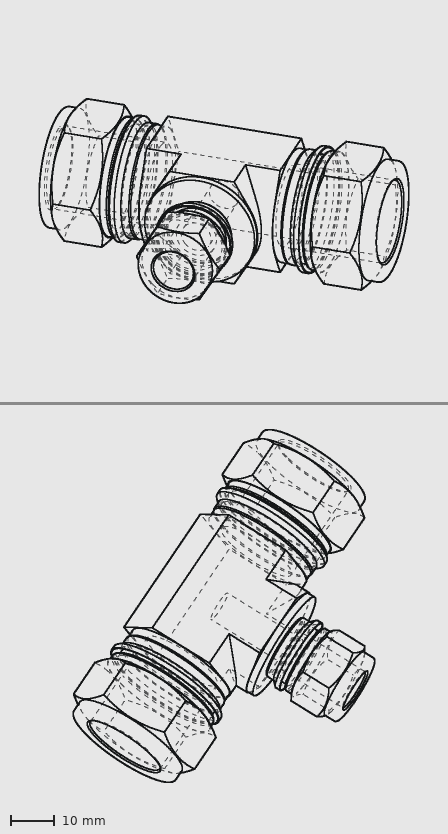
import cadquery as cq
import math


body_flats = 26.9
body_reach = 16.1
branch_base_diameter = 26.5
branch_base_reach = 17.8

run_angles = (0, 180)
branch_angle = -90

cone_length = 1.2
flange_length = 1.2
lip_thickness = 0.25
ring_length = 2.0
edge_length = 0.4
edge_depth = 0.2
end_round = 0.5
mouth_chamfer = 0.4
nut_bevel_angle = 30

run_arm = {
    "bevel_start": 18.1,
    "neck_diameter": 26.9,
    "cone_start": 20.4,
    "flange_diameter": 29.5,
    "groove_diameter": 25.4,
    "groove_length": 0.6,
    "ring_diameter": 27.8,
    "nut_flats": 28.6,
    "nut_end": 37.2,
    "collar_diameter": 28.2,
    "arm_end": 40.1,
    "tube_diameter": 19.2,
    "tube_depth": 24.45,
}

branch_arm = {
    "bevel_start": branch_base_reach,
    "neck_diameter": 15.8,
    "cone_start": 19.95,
    "flange_diameter": 18.2,
    "groove_diameter": 14.3,
    "groove_length": 0.9,
    "ring_diameter": 16.8,
    "nut_flats": 17.5,
    "nut_end": 34.1,
    "collar_diameter": 17.1,
    "arm_end": 37.2,
    "tube_diameter": 9.7,
    "tube_depth": 16.8,
}
branch_passage_diameter = 7.1


def revolve_about_x(points):
    """Solid of revolution about X from (x, radius) points; both ends close on the axis."""
    outline = [(points[0][0], 0)] + points + [(points[-1][0], 0)]
    return cq.Workplane("XY").polyline(outline).close().revolve(360, (0, 0, 0), (1, 0, 0))


def corner_radius(flats):
    """Centre-to-corner distance of a hexagon given its size across the flats."""
    return flats / 2 / math.cos(math.radians(30))


def hex_bar(flats, start, end):
    """Hexagonal bar along +X with two opposite corners toward +Y and -Y."""
    corner_diameter = 2 * corner_radius(flats)
    return cq.Workplane("YZ").workplane(offset=start).polygon(6, corner_diameter).extrude(end - start)


def bevelled_nut(flats, start, end, bevel_diameter):
    """Hexagonal nut whose corners are turned off by a cone at both ends."""
    bevel_radius = bevel_diameter / 2
    outer_radius = corner_radius(flats)
    bevel_length = (outer_radius - bevel_radius) * math.tan(math.radians(nut_bevel_angle))
    turned_blank = revolve_about_x([
        (start, bevel_radius),
        (start + bevel_length, outer_radius),
        (end - bevel_length, outer_radius),
        (end, bevel_radius),
    ])
    return hex_bar(flats, start, end).intersect(turned_blank)


def fitting_arm(size):
    """One arm along +X: neck, hollow flange, groove, ring, nut and nut end."""
    neck_radius = size["neck_diameter"] / 2
    flange_radius = size["flange_diameter"] / 2
    groove_radius = size["groove_diameter"] / 2
    ring_radius = size["ring_diameter"] / 2
    collar_radius = size["collar_diameter"] / 2
    bevel_start = size["bevel_start"]
    cone_start = size["cone_start"]
    nut_end = size["nut_end"]
    arm_end = size["arm_end"]

    cone_end = cone_start + cone_length
    flange_end = cone_end + flange_length
    groove_end = flange_end + size["groove_length"]
    nut_start = groove_end + ring_length

    turned = revolve_about_x([
        (0, neck_radius - edge_depth),
        (bevel_start, neck_radius - edge_depth),
        (bevel_start + edge_length, neck_radius),
        (cone_start, neck_radius),
        (cone_end, flange_radius),
        (flange_end, flange_radius),
        (flange_end, flange_radius - lip_thickness),
        (cone_start, groove_radius),
        (groove_end, groove_radius),
        (groove_end, ring_radius - edge_depth),
        (groove_end + edge_length, ring_radius),
        (nut_start, ring_radius),
        (nut_start, collar_radius),
        (arm_end, collar_radius),
    ]).faces(">X").edges().fillet(end_round)
    nut = bevelled_nut(size["nut_flats"], nut_start, nut_end, size["collar_diameter"])
    return turned.union(nut)


def tube_socket(size):
    """Flat-bottomed tube bore with a chamfered mouth, along +X."""
    radius = size["tube_diameter"] / 2
    mouth = size["arm_end"]
    return revolve_about_x([
        (mouth - size["tube_depth"], radius),
        (mouth - mouth_chamfer, radius),
        (mouth, radius + mouth_chamfer),
    ])


def turn_about_z(solid, angle):
    return solid.rotate((0, 0, 0), (0, 0, 1), angle)


def body_bar(start, back_rounded):
    """Hexagonal body bar along +X; the -Y corner is rounded, the +Y corner optionally too."""
    half_flats = body_flats / 2
    corner = corner_radius(body_flats)
    half_side = corner / 2
    tangent_y = half_flats * math.cos(math.radians(30))
    tangent_z = half_flats * math.sin(math.radians(30))

    outline = (
        cq.Workplane("YZ").workplane(offset=start)
        .moveTo(half_side, half_flats)
        .lineTo(-half_side, half_flats)
        .lineTo(-tangent_y, tangent_z)
        .threePointArc((-half_flats, 0), (-tangent_y, -tangent_z))
        .lineTo(-half_side, -half_flats)
        .lineTo(half_side, -half_flats)
    )
    if back_rounded:
        outline = outline.lineTo(tangent_y, -tangent_z).threePointArc((half_flats, 0), (tangent_y, tangent_z))
    else:
        outline = outline.lineTo(corner, 0)
    return outline.close().extrude(body_reach - start)


run_bar = body_bar(-body_reach, back_rounded=False)
branch_bar = turn_about_z(body_bar(0, back_rounded=True), branch_angle)
result = run_bar.union(branch_bar)

for angle in run_angles:
    result = result.union(turn_about_z(fitting_arm(run_arm), angle))
branch_base = cq.Workplane("XZ").circle(branch_base_diameter / 2).extrude(branch_base_reach)
result = result.union(branch_base)
result = result.union(turn_about_z(fitting_arm(branch_arm), branch_angle))

for angle in run_angles:
    result = result.cut(turn_about_z(tube_socket(run_arm), angle))
result = result.cut(turn_about_z(tube_socket(branch_arm), branch_angle))

branch_passage = cq.Workplane("XZ").circle(branch_passage_diameter / 2).extrude(branch_arm["arm_end"])
result = result.cut(branch_passage)